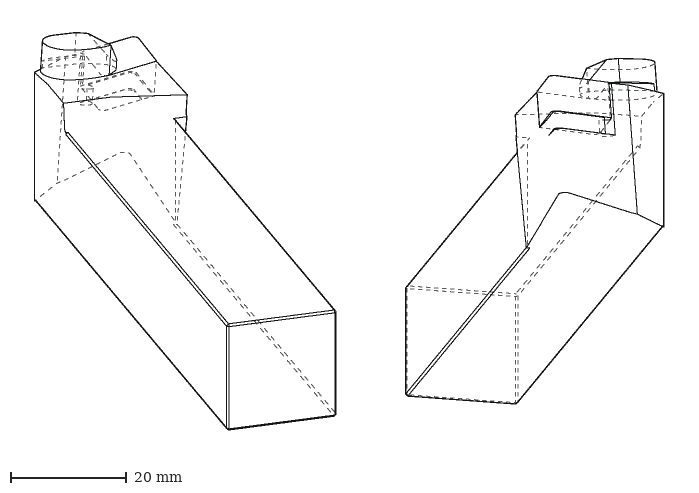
import cadquery as cq
import math

LENGTH = 125.0
SHANK = 20.0
SHANK_CHAMFER = 0.4
HEAD_HEIGHT = 25.0
HEAD_STEP_X = 35.0
HEAD_END_X = 36.2
STEP_RADIUS = 0.8

FOLD_X = 26.4
SEAT_TILT = 8.0
HEAD_REACH = 43.8
OVERSIZE = 12.5

NOSE_RADIUS = 1.1
HEAD_TIP = (0.4, 24.4)
FRONT_WALL_END = (9.8, 9.9)
BEVEL_START_X = 10.4
BACK_WALL_SLOPE = 0.054
BEVEL_X = 18.9

INSERT_TIP = (-0.8, 25.1)
INSERT_BACK_EDGE = (15.5, -1.44)
INSERT_FRONT_EDGE = (8.4, -12.6)
INSERT_THICKNESS = 6.2
INSERT_RADIUS = 0.8
RELIEF_RADIUS = 1.4
SHIM_THICKNESS = 2.9
RELIEF_CENTER = (8.2, 13.2)
SHIM_INSET = 0.4

CLAMP_HEIGHT = 5.4
CLAMP_NOSE_HEIGHT = 1.5
CLAMP_GAP = 1.2
CLAMP_GAP_WIDTH = 1.0
CLAMP_FRONT_LEFT = (14.0, 11.4)
CLAMP_FRONT_RIGHT = (21.5, 13.1)
CLAMP_LEFT_SHOULDER = (13.2, 9.5)
CLAMP_LEFT_HEEL = (14.4, 4.9)
CLAMP_HEEL_ARC = ((16.5, 2.4), (20.0, 1.8))
CLAMP_CORNER_ARC = ((22.5, 3.0), (23.6, 5.6))
CLAMP_RIGHT_ARC = ((23.1, 9.2), CLAMP_FRONT_RIGHT)
CLAMP_NOSE_RIGHT = (19.1, 15.0)
CLAMP_NOSE_ARC = ((17.5, 15.6), (15.2, 14.6))
CLAMP_NOSE_REACH = 3.1

TILT = math.radians(SEAT_TILT)
SEAT = cq.Plane(
    origin=(FOLD_X, 0, HEAD_HEIGHT),
    xDir=(1, 1, 0),
    normal=(-math.sin(TILT) / math.sqrt(2), math.sin(TILT) / math.sqrt(2), math.cos(TILT)),
)


def seat_point(point, height=0.0):
    """Seat coordinates of a plan point (X, Y) lying the given height above the seat."""
    along = (point[0] - FOLD_X + point[1]) / math.sqrt(2)
    downhill = (point[1] - point[0] + FOLD_X) / math.sqrt(2)
    return along, (downhill - height * math.sin(TILT)) / math.cos(TILT)


def place_on_seat(body):
    """Move a body built about the XY plane onto the tilted seat."""
    return cq.Workplane(body.val().moved(cq.Location(SEAT)))


def make_shank():
    start_x = HEAD_STEP_X - OVERSIZE / 2
    return (
        cq.Workplane("XY")
        .box(LENGTH - start_x, SHANK, SHANK, centered=False)
        .translate((start_x, 0, 0))
        .edges("|X or >X")
        .chamfer(SHANK_CHAMFER)
    )


def make_head():
    """Leaning prism under the seat, trimmed to the side profile of the head."""
    rear_x = HEAD_END_X + OVERSIZE
    outline = [
        HEAD_TIP,
        FRONT_WALL_END,
        (BEVEL_START_X, BEVEL_X - BEVEL_START_X),
        (BEVEL_X + OVERSIZE, -OVERSIZE),
        (rear_x, -OVERSIZE),
        (rear_x, HEAD_TIP[1] - BACK_WALL_SLOPE * (rear_x - HEAD_TIP[0])),
    ]
    prism = cq.Workplane("XY").polyline([seat_point(p) for p in outline]).close().extrude(-HEAD_REACH)
    nose = cq.selectors.NearestToPointSelector((*seat_point(outline[0]), -HEAD_REACH / 2))
    prism = prism.edges(nose).fillet(NOSE_RADIUS)
    trim = (
        cq.Workplane("XZ")
        .moveTo(-OVERSIZE, 0)
        .lineTo(HEAD_END_X, 0)
        .lineTo(HEAD_END_X, SHANK)
        .threePointArc(
            (HEAD_END_X - STEP_RADIUS * math.sqrt(0.5), SHANK + STEP_RADIUS * (1 - math.sqrt(0.5))),
            (HEAD_END_X - STEP_RADIUS, SHANK + STEP_RADIUS),
        )
        .lineTo(HEAD_STEP_X, HEAD_HEIGHT)
        .lineTo(-OVERSIZE, HEAD_HEIGHT)
        .close()
        .extrude(-(SHANK + OVERSIZE))
    )
    front_chamfer = (
        cq.Workplane("YZ", origin=(BEVEL_X, 0, 0))
        .polyline([(0, 0), (SHANK_CHAMFER, 0), (0, SHANK_CHAMFER)])
        .close()
        .extrude(HEAD_END_X - BEVEL_X)
    )
    return place_on_seat(prism).intersect(trim).cut(front_chamfer)


def insert_outline():
    """Sharp-cornered rhombus of the insert in seat coordinates."""
    tip = INSERT_TIP
    back = (tip[0] + INSERT_BACK_EDGE[0], tip[1] + INSERT_BACK_EDGE[1])
    front = (tip[0] + INSERT_FRONT_EDGE[0], tip[1] + INSERT_FRONT_EDGE[1])
    far = (back[0] + INSERT_FRONT_EDGE[0], back[1] + INSERT_FRONT_EDGE[1])
    rhombus = [seat_point(p) for p in (tip, front, far, back)]
    return cq.Workplane("XY").polyline(rhombus).close()


def make_insert():
    body = insert_outline().extrude(-INSERT_THICKNESS)
    return place_on_seat(body.edges("|Z").fillet(INSERT_RADIUS))


def make_shim():
    """Inset pad under the insert, standing slightly proud of the head walls."""
    body = insert_outline().offset2D(-SHIM_INSET).extrude(-SHIM_THICKNESS)
    body = body.edges("|Z").fillet(INSERT_RADIUS)
    return place_on_seat(body.translate((0, 0, -INSERT_THICKNESS)))


def make_relief():
    """Corner relief that runs past the insert into the seat wall."""
    depth = INSERT_THICKNESS + SHIM_THICKNESS
    return place_on_seat(
        cq.Workplane("XY").center(*seat_point(RELIEF_CENTER)).circle(RELIEF_RADIUS).extrude(-depth)
    )


def make_clamp():
    def top(point):
        return seat_point(point, CLAMP_HEIGHT)

    front_left = top(CLAMP_FRONT_LEFT)
    front_right = top(CLAMP_FRONT_RIGHT)
    shoulder = top(CLAMP_LEFT_SHOULDER)
    heel = top(CLAMP_LEFT_HEEL)
    body = (
        cq.Workplane("XY")
        .moveTo(*front_left)
        .lineTo(*shoulder)
        .lineTo(*heel)
        .threePointArc(*map(top, CLAMP_HEEL_ARC))
        .threePointArc(*map(top, CLAMP_CORNER_ARC))
        .threePointArc(*map(top, CLAMP_RIGHT_ARC))
        .lineTo(*top(CLAMP_NOSE_RIGHT))
        .threePointArc(*map(top, CLAMP_NOSE_ARC))
        .close()
        .extrude(CLAMP_HEIGHT)
    )
    edge = (front_right[0] - front_left[0], front_right[1] - front_left[1])
    slope_plane = cq.Plane(
        origin=(*front_left, CLAMP_HEIGHT), xDir=(-edge[1], edge[0], 0), normal=(edge[0], edge[1], 0)
    )
    slope_drop = CLAMP_HEIGHT - CLAMP_NOSE_HEIGHT
    slope = (
        cq.Workplane(slope_plane)
        .polyline([(0, 0), (2 * CLAMP_NOSE_REACH, 0), (2 * CLAMP_NOSE_REACH, -2 * slope_drop)])
        .close()
        .extrude(OVERSIZE, both=True)
    )
    wall = (heel[0] - shoulder[0], heel[1] - shoulder[1])
    wall_plane = cq.Plane(origin=(*shoulder, 0), xDir=(*wall, 0), normal=(0, 0, 1))
    gap = (
        cq.Workplane(wall_plane)
        .rect(2 * OVERSIZE, 2 * CLAMP_GAP_WIDTH)
        .extrude(CLAMP_GAP)
    )
    return place_on_seat(body.cut(slope).cut(gap))


insert = make_insert()
holder = make_shank().union(make_head()).union(make_shim())
holder = holder.cut(insert).cut(make_relief()).union(make_clamp())

result = cq.Compound.makeCompound([holder.val(), insert.val()])